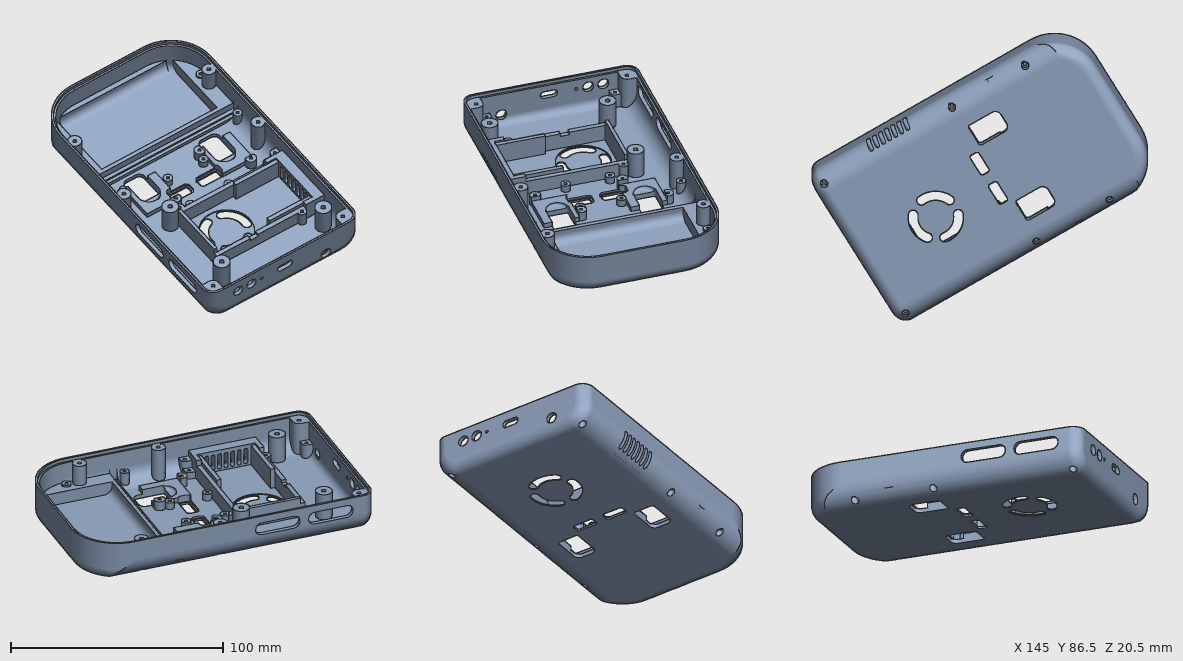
import cadquery as cq
import math


length = 145.0
width = 86.5
height = 20.5
wall = 2.0
floor = wall
round_end_radius = 22.5
square_end_radius = 6.0
side_edge_radius = 10.0
end_edge_radius = 6.0
lip_width = 1.0
lip_depth = 1.6

half_width = width / 2
inner_half_width = half_width - wall
inner_end = length - wall
flat_half_width = half_width - side_edge_radius
rim_level = height - lip_depth
split_x = length / 2

ledge_end_x = 44.4
ledge_top = 8.4
pocket_x0 = 4.6
pocket_x1 = 42.3
pocket_edge_radius = 4.0
step_end_x = 48.1
step_top = 4.6
groove_width = 1.7
groove_half_length = 40.3
groove_depth = 0.9

pad_x0 = 55.4
pad_x1 = 74.7
pad_top = 4.5
pad_y_ranges = [(13.8, 31.3), (-29.9, -11.7)]
trigger_x0 = 50.0
trigger_x1 = 66.4
trigger_width = 11.3
trigger_y_centres = [21.6, -21.8]
trigger_left_radius = 3.0
trigger_right_radius = 1.2
scoop_x = 64.5
scoop_radius = 5.5
scoop_edge_radius = 1.3
scoop_floor = 2.8

window_x0 = 68.7
window_x1 = 73.5
window_length = 11.2
window_y_centres = [8.4, -8.4]
window_border = 0.9
window_radius = 1.2
window_border_floor = 1.0

frame_x0 = 84.4
frame_x1 = 118.6
frame_middle_x = (frame_x0 + frame_x1) / 2
frame_y0 = -20.7
frame_side_wall = 2.3
frame_end_wall = 1.7
bay_x0 = frame_x0 + frame_side_wall
bay_x1 = frame_x1 - frame_side_wall
frame_top = 12.2
frame_side_top = 9.3
frame_side_y1 = 30.7
duct_y = 36.0
bay_floor = 1.0
guide_width = 2.2
guide_top = 11.3
guide_end_y = 11.3
cable_notch_y = 0.9
cable_notch_width = 4.5
cable_notch_depth = 1.5

vent_count = 7
vent_pitch = 3.3
vent_width = 2.0
vent_top = 10.2

fan_x = 102.5
fan_y = -3.8
fan_recess_diameter = 26.5
fan_recess_depth = 0.5
fan_slot_radius = 10.7
fan_slot_width = 4.5
fan_slot_sweep = 76
fan_slot_count = 3

screw_pillar_places = [(28.0, 38.7), (28.0, -38.7), (68.2, 38.7), (68.2, -38.7)]
screw_pillar_diameter = 6.7
corner_screw_places = [(139.2, 37.4), (139.2, -37.4)]
corner_pillar_size = 9.1
corner_pillar_radius = 3.3
screw_hole_diameter = 1.7
screw_head_diameter = 3.5
screw_head_depth = 4.4

board_pillar_places = [(126.9, 34.8), (84.8, -23.8), (126.9, -23.8)]
board_pillar_diameter = 8.0
board_pillar_top = 15.5
board_hole_diameter = 2.2

pin_diameter = 4.5
pin_hole_diameter = 1.5
pin_hole_depth = 2.9
pin_radius = pin_diameter / 2
high_pin_top = frame_side_top
duct_high_pin = (81.6, 38.9)
end_pins = [(140.6, 31.8), (140.6, -31.9)]
high_pin_places = [
    (21.3, 38.7), (21.3, -38.7), (51.0, 39.0), (62.2, -38.9),
    (83.5, -17.4), (118.8, 28.3), duct_high_pin, *end_pins,
]
low_pin_top = 5.5
duct_low_pin = (82.0, 34.4)
low_pin_places = [(62.6, 11.0), (62.6, -9.4), (82.0, 11.9), (82.0, -10.2), duct_low_pin]
trigger_pin_diameter = 5.4
trigger_pin_top = 6.8
trigger_pin_places = [(58.0, 12.2), (58.0, -31.0), (76.0, 29.0), (76.0, -14.4)]

webbed_pins = [
    (duct_high_pin, frame_x0, half_width, high_pin_top),
    (duct_low_pin, frame_x0, duct_high_pin[1], low_pin_top),
]
for end_pin, (_, corner_screw_y) in zip(end_pins, corner_screw_places):
    webbed_pins.append((end_pin, inner_end, corner_screw_y, high_pin_top))

side_slot_x_centres = [95.5, 122.5]
side_slot_length = 22.6
side_slot_height = 6.4
side_slot_z = 13.6
round_ports = [(23.6, 7.0, 5.4), (-13.5, 13.6, 1.5), (-19.5, 13.6, 5.4), (-27.0, 13.6, 5.4)]
long_port_length = 8.5
long_port_height = 3.8
long_port_z = 13.6


def box(x0, x1, y0, y1, z0, z1):
    return cq.Workplane("XY").box(x1 - x0, y1 - y0, z1 - z0, centered=False).translate((x0, y0, z0))


def cylinders(places, diameter, z0, z1):
    return cq.Workplane("XY", origin=(0, 0, z0)).pushPoints(places).circle(diameter / 2).extrude(z1 - z0)


def tray_block(inset):
    """The outer body, or with the wall as inset the space inside it."""
    side = half_width - inset
    end_radius = end_edge_radius - inset

    prism = box(inset, length - inset, -side, side, inset, height)
    prism = prism.edges("|X and <Z").fillet(side_edge_radius - inset)

    square_end = prism.intersect(box(split_x, length, -side, side, 0, height))
    square_end = square_end.faces(">X").edges("not >Z").fillet(end_radius)

    round_end = box(inset, split_x, -side, side, inset, height)
    round_end = round_end.edges("|Z and <X").fillet(round_end_radius - inset)
    round_end = round_end.faces("<Z").edges("not >X").fillet(end_radius)
    return square_end.union(round_end.intersect(prism))


def lip_recess():
    """Rebate that leaves a thin lip standing around the mouth."""
    side = half_width - lip_width
    recess = box(lip_width, length - lip_width, -side, side, rim_level, height)
    recess = recess.edges("|Z and <X").fillet(round_end_radius - lip_width)
    return recess.edges("|Z and >X").fillet(square_end_radius - lip_width)


def battery_ledge():
    ledge = box(0, ledge_end_x, -half_width, half_width, 0, ledge_top)
    pocket = box(pocket_x0, pocket_x1, -flat_half_width, flat_half_width, floor, height)
    pocket = pocket.edges("|Y and <Z").fillet(pocket_edge_radius)
    step = box(ledge_end_x, step_end_x, -half_width, half_width, 0, step_top)
    return ledge.cut(pocket).union(step)


def step_clearance():
    """Squares the tray corners above the low step."""
    return box(ledge_end_x, step_end_x, -inner_half_width, inner_half_width, step_top, rim_level)


def step_groove():
    groove = cq.Workplane("XY", origin=(step_end_x - groove_width / 2, 0, step_top))
    return groove.slot2D(2 * groove_half_length, groove_width, 90).extrude(-groove_depth)


def trigger_pads():
    pads = cq.Workplane("XY")
    for y0, y1 in pad_y_ranges:
        pads = pads.union(box(pad_x0, pad_x1, y0, y1, 0, pad_top))
    return pads


def trigger_opening(y):
    opening = box(trigger_x0, trigger_x1, y - trigger_width / 2, y + trigger_width / 2, 0, height)
    opening = opening.edges("|Z and <X").fillet(trigger_left_radius)
    opening = opening.edges("|Z and >X").fillet(trigger_right_radius)
    scoop = cylinders([(scoop_x, y)], 2 * scoop_radius, scoop_floor, height)
    scoop = scoop.faces("<Z").edges().fillet(scoop_edge_radius)
    return opening.union(scoop)


def window_opening(y):
    def rounded(margin, z0):
        half = window_length / 2 + margin
        hole = box(window_x0 - margin, window_x1 + margin, y - half, y + half, z0, pad_top)
        return hole.edges("|Z").fillet(window_radius + margin)

    return rounded(0, 0).union(rounded(window_border, window_border_floor))


def fan_frame():
    notch_y0 = cable_notch_y - cable_notch_width / 2
    notch_y1 = cable_notch_y + cable_notch_width / 2

    frame = box(frame_x0, frame_x1, frame_y0, half_width, 0, frame_top)
    frame = frame.cut(fan_bay())
    for side_x in [frame_x0, bay_x1]:
        side_x1 = side_x + frame_side_wall
        frame = frame.cut(box(side_x, side_x1, frame_y0, frame_side_y1, frame_side_top, frame_top))
    for guide_x in [bay_x0, bay_x1 - guide_width]:
        frame = frame.union(box(guide_x, guide_x + guide_width, guide_end_y, duct_y, 0, guide_top))
    notch_z = frame_side_top - cable_notch_depth
    return frame.cut(box(bay_x1, frame_x1, notch_y0, notch_y1, notch_z, frame_top))


def fan_bay():
    """Room inside the frame, sunk a little into the floor."""
    return box(bay_x0, bay_x1, frame_y0 + frame_end_wall, duct_y, bay_floor, height)


def vents():
    """Row of upright slots from the fan frame through the +Y side."""
    vent_height = vent_top - floor
    return (
        cq.Workplane("XZ", origin=(frame_middle_x, half_width, floor + vent_height / 2))
        .rarray(vent_pitch, 1.5, vent_count, 1)
        .slot2D(vent_height, vent_width, 90)
        .extrude(half_width - duct_y)
    )


def fan_openings():
    """Round recess with curved air slots through its floor."""
    cuts = cylinders([(fan_x, fan_y)], fan_recess_diameter, bay_floor - fan_recess_depth, bay_floor)
    slot = curved_slot(fan_slot_radius, fan_slot_width, fan_slot_sweep, bay_floor)
    for i in range(fan_slot_count):
        turned = slot.rotate((0, 0, 0), (0, 0, 1), i * 360 / fan_slot_count)
        cuts = cuts.union(turned.translate((fan_x, fan_y, 0)))
    return cuts


def curved_slot(radius, slot_width, sweep, thickness):
    """Slot along an arc about the origin, with round ends, centred on the +X axis."""
    half_sweep = math.radians(sweep / 2)
    inner = radius - slot_width / 2
    outer = radius + slot_width / 2

    def point(r, side):
        return r * math.cos(half_sweep), side * r * math.sin(half_sweep)

    return (
        cq.Workplane("XY")
        .moveTo(*point(outer, -1))
        .threePointArc((outer, 0), point(outer, 1))
        .tangentArcPoint(point(inner, 1), relative=False)
        .threePointArc((inner, 0), point(inner, -1))
        .tangentArcPoint(point(outer, -1), relative=False)
        .close()
        .extrude(thickness)
    )


def pillars():
    posts = cylinders(screw_pillar_places, screw_pillar_diameter, 0, rim_level)
    corner_x = length - corner_pillar_size
    corner_y = half_width - corner_pillar_size
    for y0, y1, inner_edge in [(corner_y, half_width, "<X and <Y"), (-half_width, -corner_y, "<X and >Y")]:
        corner = box(corner_x, length, y0, y1, 0, rim_level)
        posts = posts.union(corner.edges("|Z").edges(inner_edge).fillet(corner_pillar_radius))
    posts = posts.union(cylinders(board_pillar_places, board_pillar_diameter, 0, board_pillar_top))
    posts = posts.union(cylinders(high_pin_places, pin_diameter, 0, high_pin_top))
    posts = posts.union(cylinders(low_pin_places, pin_diameter, 0, low_pin_top))
    for place, wall_x, neighbour_y, top in webbed_pins:
        posts = posts.union(pin_web(place, wall_x, neighbour_y, top))
    trigger_pins = cylinders(trigger_pin_places, trigger_pin_diameter, 0, trigger_pin_top)
    for y0, y1 in pad_y_ranges:
        trigger_pins = trigger_pins.cut(box(pad_x0, pad_x1, y0, y1, pad_top, trigger_pin_top))
    return posts.union(trigger_pins)


def pin_web(place, wall_x, neighbour_y, top):
    """Fills the space between a pin, the wall beside it in X and its neighbour in Y."""
    x, y = place
    beside = box(x, wall_x, y - pin_radius, y + pin_radius, 0, top)
    return beside.union(box(x - pin_radius, wall_x, min(y, neighbour_y), max(y, neighbour_y), 0, top))


def pillar_holes():
    screws = screw_pillar_places + corner_screw_places
    holes = cylinders(screws, screw_hole_diameter, 0, rim_level)
    holes = holes.union(cylinders(screws, screw_head_diameter, 0, screw_head_depth))
    holes = holes.union(cylinders(board_pillar_places, board_hole_diameter, floor, board_pillar_top))
    for places, top in [
        (high_pin_places, high_pin_top),
        (low_pin_places, low_pin_top),
        (trigger_pin_places, trigger_pin_top),
    ]:
        holes = holes.union(cylinders(places, pin_hole_diameter, top - pin_hole_depth, top))
    return holes


def side_slots():
    slots = cq.Workplane("XZ", origin=(0, -inner_half_width, side_slot_z))
    slots = slots.pushPoints([(x, 0) for x in side_slot_x_centres])
    return slots.slot2D(side_slot_length, side_slot_height).extrude(wall)


def connector_ports():
    face = cq.Workplane("YZ", origin=(inner_end, 0, 0))
    ports = face.center(0, long_port_z).slot2D(long_port_length, long_port_height).extrude(wall)
    for y, z, diameter in round_ports:
        ports = ports.union(cq.Workplane("YZ", origin=(inner_end, y, z)).circle(diameter / 2).extrude(wall))
    return ports


outside = tray_block(0)
shell = outside.cut(tray_block(wall)).cut(step_clearance()).cut(lip_recess()).cut(fan_bay())
fittings = battery_ledge().union(trigger_pads()).union(fan_frame())
result = shell.union(fittings.intersect(outside))
for trigger_y in trigger_y_centres:
    result = result.cut(trigger_opening(trigger_y))
for window_y in window_y_centres:
    result = result.cut(window_opening(window_y))
result = result.cut(step_groove()).cut(vents()).cut(fan_openings())
result = result.union(pillars().intersect(outside)).cut(pillar_holes())
result = result.cut(side_slots()).cut(connector_ports())